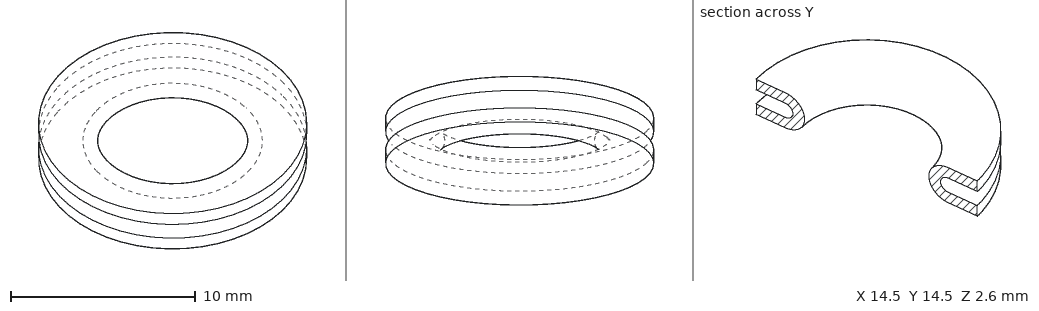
import cadquery as cq

outer_radius = 7.25
height = 2.6
flange_thickness = 0.8
arc_center_radius = 5.35

half_height = height / 2
groove_half_width = half_height - flange_thickness
throat_radius = arc_center_radius - half_height
groove_floor_radius = arc_center_radius - groove_half_width

section = (
    cq.Workplane("XZ")
    .moveTo(arc_center_radius, -half_height)
    .lineTo(outer_radius, -half_height)
    .lineTo(outer_radius, -groove_half_width)
    .lineTo(arc_center_radius, -groove_half_width)
    .threePointArc((groove_floor_radius, 0), (arc_center_radius, groove_half_width))
    .lineTo(outer_radius, groove_half_width)
    .lineTo(outer_radius, half_height)
    .lineTo(arc_center_radius, half_height)
    .threePointArc((throat_radius, 0), (arc_center_radius, -half_height))
    .close()
)

result = section.revolve(360, (0, 0, 0), (0, 1, 0))